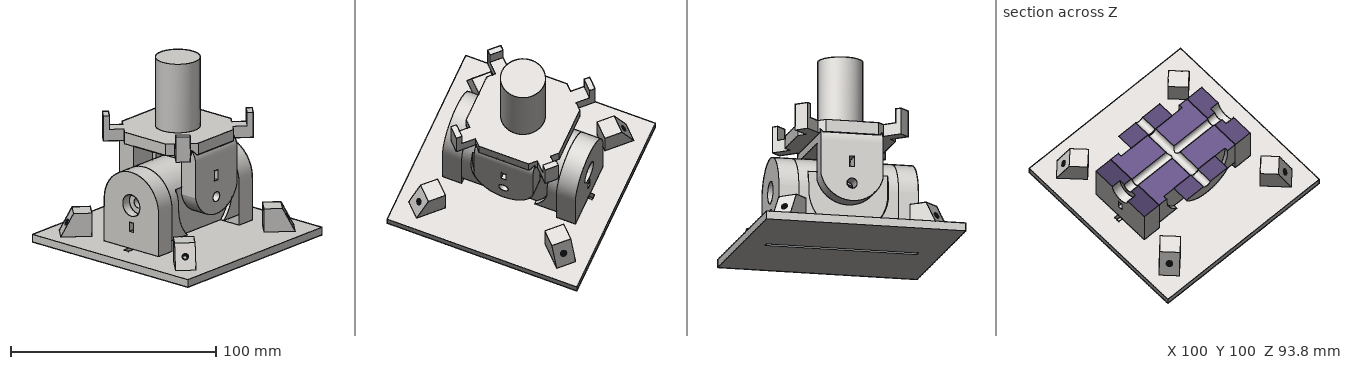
import cadquery as cq
import math

PLATE_SIZE = 100.0
PLATE_THICKNESS = 4.0
PLATE_SLOT_WIDTH = 3.0
PLATE_SLOT_LENGTH = 76.0

POST_WIDTH = 10.0
POST_HEIGHT = 12.0
POST_INNER_REACH = 42.0
POST_FOOT_LENGTH = 15.25
POST_TOP_LENGTH = 9.0
POST_THREAD_MINOR_DIAMETER = 2.53
POST_THREAD_MAJOR_DIAMETER = 3.09
POST_THREAD_PITCH = 0.5
POST_THREAD_TURNS = 12

JOINT_Y = 0.8

ARCH_CENTRE_Z = 26.0
ARCH_RADIUS = 17.5

UPRIGHT_THICKNESS = 10.0
UPRIGHT_HOLE_Z = 26.3
UPRIGHT_HOLE_DIAMETER = 5.0
UPRIGHT_RECESS_DIAMETER = 11.0
UPRIGHT_RECESS_DEPTH = 5.0
UPRIGHT_SLOT_Z = 15.1
UPRIGHT_SLOT_WIDTH = 2.5
UPRIGHT_SLOT_HEIGHT = 4.7

BLOCK_LENGTH = 50.0
BLOCK_BOTTOM_Z = 9.5
BLOCK_BORE_Z = 26.1
BLOCK_Y_BORE_DIAMETER = 4.23
BLOCK_X_BORE_DIAMETER = 5.0
POCKET_RADIUS = 20.0
POCKET_CENTRE_Z = 24.2

YOKE_INNER_HALF = 15.5
YOKE_WALL = 9.0
YOKE_WIDTH = 31.0
YOKE_INNER_TOP_Z = 48.3
LEG_END_RADIUS = 16.0
LEG_BOTTOM_Z = 18.4
LEG_HOLE_DIAMETER = 5.0
LEG_HOLE_Z = 27.2
LEG_SLOT_Z = 38.2
LEG_SLOT_WIDTH = 2.5
LEG_SLOT_HEIGHT = 5.2

PLATFORM_X = -0.3
PLATFORM_SIZE = 49.0
PLATFORM_THICKNESS = 6.0
PLATFORM_CHAMFER = 11.4
PLATFORM_BOTTOM_Z = 52.3
HOOK_WIDTH = 7.0
HOOK_REACH = 36.6
HOOK_THICKNESS = 3.0
HOOK_HEIGHT = 13.0
STICK_DIAMETER = 22.0
TOTAL_HEIGHT = 93.76

DIAGONALS = [45.0, 135.0, 225.0, 315.0]


def box_between(x_range, y_range, z_range):
    """Box given by its lower and upper limit along each axis."""
    lengths = [high - low for low, high in (x_range, y_range, z_range)]
    corner = (x_range[0], y_range[0], z_range[0])
    return cq.Workplane("XY").box(*lengths, centered=False).translate(corner)


def bore_x(diameter, z):
    """Cylinder along X through the whole joint at height z."""
    return cq.Workplane("YZ").center(JOINT_Y, z).circle(diameter / 2).extrude(PLATE_SIZE / 2, both=True)


def bore_y(diameter, z):
    """Cylinder along Y through the whole joint at height z."""
    return cq.Workplane("XZ").center(0, z).circle(diameter / 2).extrude(PLATE_SIZE, both=True)


def arch(bottom_z, y_start, y_end):
    """Upright-sided arch, round at the top, running along Y."""
    return (
        cq.Workplane("XZ", origin=(0, y_start, 0))
        .moveTo(-ARCH_RADIUS, bottom_z)
        .lineTo(-ARCH_RADIUS, ARCH_CENTRE_Z)
        .threePointArc((0, ARCH_CENTRE_Z + ARCH_RADIUS), (ARCH_RADIUS, ARCH_CENTRE_Z))
        .lineTo(ARCH_RADIUS, bottom_z)
        .close()
        .extrude(y_start - y_end)
    )


def thread_cutter():
    """Space of a post's threaded hole, going down from the origin, with each turn as a V-shaped ring."""
    minor_radius = POST_THREAD_MINOR_DIAMETER / 2
    major_radius = POST_THREAD_MAJOR_DIAMETER / 2
    outline = cq.Workplane("XZ").lineTo(major_radius, 0)
    for turn in range(1, POST_THREAD_TURNS + 1):
        valley_z = -turn * POST_THREAD_PITCH
        outline = outline.lineTo(minor_radius, valley_z + POST_THREAD_PITCH / 2)
        if turn < POST_THREAD_TURNS:
            outline = outline.lineTo(major_radius, valley_z)
    depth = POST_THREAD_TURNS * POST_THREAD_PITCH
    return outline.lineTo(minor_radius, -depth).lineTo(0, -depth).close().revolve(360, (0, 0, 0), (0, 1, 0))


def make_post(angle):
    """Post with a sloped outer face and a blind threaded hole square to the slope."""
    slope_run = POST_FOOT_LENGTH - POST_TOP_LENGTH
    outer = POST_INNER_REACH + POST_FOOT_LENGTH
    top_z = PLATE_THICKNESS + POST_HEIGHT
    post = (
        cq.Workplane("XZ")
        .polyline([
            (POST_INNER_REACH, PLATE_THICKNESS),
            (outer, PLATE_THICKNESS),
            (outer - slope_run, top_z),
            (POST_INNER_REACH, top_z),
        ])
        .close()
        .extrude(POST_WIDTH / 2, both=True)
    )
    slope_tilt = math.degrees(math.atan2(POST_HEIGHT, slope_run))
    slope_middle = (outer - slope_run / 2, 0, PLATE_THICKNESS + POST_HEIGHT / 2)
    hole = thread_cutter().rotate((0, 0, 0), (0, 1, 0), slope_tilt).translate(slope_middle)
    return post.cut(hole).rotate((0, 0, 0), (0, 0, 1), angle)


def make_base():
    base = cq.Workplane("XY").box(PLATE_SIZE, PLATE_SIZE, PLATE_THICKNESS, centered=(True, True, False))
    base = base.cut(cq.Workplane("XY").rect(PLATE_SLOT_WIDTH, PLATE_SLOT_LENGTH).extrude(PLATE_THICKNESS))
    for angle in DIAGONALS:
        base = base.union(make_post(angle))
    return base


def make_upright(side):
    """Upright at one end of the block; side is -1 or 1 along Y."""
    inner_y = JOINT_Y + side * BLOCK_LENGTH / 2
    outer_y = inner_y + side * UPRIGHT_THICKNESS
    upright = arch(PLATE_THICKNESS, min(inner_y, outer_y), max(inner_y, outer_y))
    slot = (
        cq.Workplane("XZ")
        .center(0, UPRIGHT_SLOT_Z)
        .rect(UPRIGHT_SLOT_WIDTH, UPRIGHT_SLOT_HEIGHT)
        .extrude(PLATE_SIZE, both=True)
    )
    recess = (
        cq.Workplane("XZ", origin=(0, outer_y, 0))
        .center(0, UPRIGHT_HOLE_Z)
        .circle(UPRIGHT_RECESS_DIAMETER / 2)
        .extrude(side * UPRIGHT_RECESS_DEPTH)
    )
    return upright.cut(bore_y(UPRIGHT_HOLE_DIAMETER, UPRIGHT_HOLE_Z)).cut(recess).cut(slot)


def make_block():
    half_length = BLOCK_LENGTH / 2
    block = arch(BLOCK_BOTTOM_Z, JOINT_Y - half_length, JOINT_Y + half_length)
    swing_space = (
        cq.Workplane("YZ", origin=(YOKE_INNER_HALF, JOINT_Y, 0))
        .moveTo(-POCKET_RADIUS, POCKET_CENTRE_Z)
        .threePointArc((0, POCKET_CENTRE_Z - POCKET_RADIUS), (POCKET_RADIUS, POCKET_CENTRE_Z))
        .lineTo(POCKET_RADIUS, ARCH_CENTRE_Z + ARCH_RADIUS)
        .lineTo(-POCKET_RADIUS, ARCH_CENTRE_Z + ARCH_RADIUS)
        .close()
        .extrude(ARCH_RADIUS)
    )
    block = block.cut(swing_space).cut(swing_space.mirror("YZ"))
    block = block.cut(bore_y(BLOCK_Y_BORE_DIAMETER, BLOCK_BORE_Z))
    return block.cut(bore_x(BLOCK_X_BORE_DIAMETER, BLOCK_BORE_Z))


def make_yoke():
    """Upside-down U with round leg ends and round outer top corners."""
    outer_half = YOKE_INNER_HALF + YOKE_WALL
    half_width = YOKE_WIDTH / 2
    top_z = YOKE_INNER_TOP_Z + YOKE_WALL
    leg_arc_rise = LEG_END_RADIUS - math.sqrt(LEG_END_RADIUS**2 - half_width**2)
    leg_profile = (
        cq.Workplane("YZ", origin=(0, JOINT_Y, 0))
        .moveTo(-half_width, LEG_BOTTOM_Z + leg_arc_rise)
        .threePointArc((0, LEG_BOTTOM_Z), (half_width, LEG_BOTTOM_Z + leg_arc_rise))
        .lineTo(half_width, top_z)
        .lineTo(-half_width, top_z)
        .close()
    )
    yoke = leg_profile.extrude(outer_half, both=True).edges("|Y and >Z").fillet(YOKE_WALL)
    opening = box_between(
        (-YOKE_INNER_HALF, YOKE_INNER_HALF), (-PLATE_SIZE, PLATE_SIZE), (0, YOKE_INNER_TOP_Z)
    )
    slot = (
        cq.Workplane("YZ")
        .center(JOINT_Y, LEG_SLOT_Z)
        .rect(LEG_SLOT_WIDTH, LEG_SLOT_HEIGHT)
        .extrude(PLATE_SIZE, both=True)
    )
    return yoke.cut(opening).cut(bore_x(LEG_HOLE_DIAMETER, LEG_HOLE_Z)).cut(slot)


def make_hook(angle):
    """Arm from the platform centre along a diagonal, with a finger standing at its end."""
    half_width = HOOK_WIDTH / 2
    finger_inner = HOOK_REACH - HOOK_THICKNESS
    arm = box_between((0, HOOK_REACH), (-half_width, half_width), (0, PLATFORM_THICKNESS))
    finger = box_between((finger_inner, HOOK_REACH), (-half_width, half_width), (0, HOOK_HEIGHT))
    return arm.union(finger).rotate((0, 0, 0), (0, 0, 1), angle)


def make_joystick():
    """Yoke, platform, hooks and stick in one piece."""
    platform = (
        cq.Workplane("XY")
        .box(PLATFORM_SIZE, PLATFORM_SIZE, PLATFORM_THICKNESS, centered=(True, True, False))
        .edges("|Z")
        .chamfer(PLATFORM_CHAMFER)
    )
    for angle in DIAGONALS:
        platform = platform.union(make_hook(angle))
    stick_height = TOTAL_HEIGHT - PLATFORM_BOTTOM_Z
    platform = platform.union(cq.Workplane("XY").circle(STICK_DIAMETER / 2).extrude(stick_height))
    return make_yoke().union(platform.translate((PLATFORM_X, JOINT_Y, PLATFORM_BOTTOM_Z)))


base = make_base()
uprights = [make_upright(side) for side in (-1, 1)]
block = make_block()
joystick = make_joystick()

result = cq.Compound.makeCompound([
    base.val(),
    *[upright.val() for upright in uprights],
    block.val(),
    joystick.val(),
])